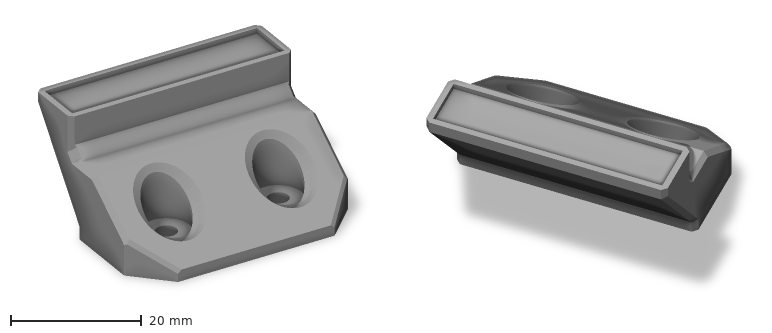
import cadquery as cq
import math

height = 20.0
width = 40.0
base_length = 20.0
overhang = 12.2
lip_height = 2.0

block_length = 10.2
ledge_height = 13.0
ledge_length = 6.8
notch_chamfer = 2.0
corner_cut = 6.0
side_chamfer = 0.8

pocket_wall = 1.0
pocket_depth = 1.0

hole_diameter = 3.5
head_diameter = 8.0
hole_x = base_length / 2
hole_spacing = 20.0
floor_height = 3.0
mouth_chamfer = 1.6

block_left = -overhang
block_right = block_left + block_length
crest_x = block_right + ledge_length
slope = (ledge_height - lip_height) / (base_length - crest_x)
slope_angle = math.atan(slope)
overhang_angle = math.atan(overhang / (height - 2 * lip_height))


def side_outline(inset, notch_leg):
    """XZ outline with its two flanks moved inwards; base, top and nose stay in place."""
    left_rise = inset * math.tan(overhang_angle / 2)
    corner_x = block_right - inset
    corner_z = ledge_height - inset
    return [
        (inset, 0),
        (base_length, 0),
        (base_length, lip_height - inset / math.cos(slope_angle)),
        (crest_x - inset * math.tan(slope_angle / 2), corner_z),
        (corner_x + notch_leg, corner_z),
        (corner_x, corner_z + notch_leg),
        (corner_x, height),
        (block_left + inset, height),
        (block_left + inset, height - lip_height + left_rise),
        (inset, lip_height + left_rise),
    ]


def outline_wire(y, inset, notch_leg):
    points = [cq.Vector(x, y, z) for x, z in side_outline(inset, notch_leg)]
    return cq.Wire.makePolygon(points, close=True)


def extrude_outline(start_y, length):
    wire = outline_wire(start_y, 0, notch_chamfer)
    return cq.Workplane(cq.Solid.extrudeLinear(wire, [], cq.Vector(0, length, 0)))


def chamfered_body():
    """Bar of the side outline whose two ends narrow at 45 degrees.

    The chamfer also runs through the notch. The bevels beside it meet at 60 degrees
    rather than 90, so the notch leg is shorter there and its bevel reaches deeper.
    """
    bevel_leg = notch_chamfer / math.sqrt(2)
    end_depth = side_chamfer + (notch_chamfer - bevel_leg) / 2
    outer = outline_wire(-width / 2, side_chamfer, bevel_leg)
    inner = outline_wire(-width / 2 + end_depth, side_chamfer - end_depth, bevel_leg)
    tapered = cq.Workplane(cq.Solid.makeLoft([outer, inner], True))
    end = tapered.intersect(extrude_outline(-width / 2, end_depth))
    middle = extrude_outline(-width / 2 + end_depth, width - 2 * end_depth)
    return middle.union(end).union(end.mirror("XZ"))


def cut_nose_corners(body):
    """Cut both nose corners at 45 degrees and bevel their upper edges.

    The bevel leg is shortened for the obtuse edge, so that the bevel has the same
    offset from both faces as the side chamfers.
    """
    normal_dot = math.sin(slope_angle) / math.sqrt(2)
    bevel_leg = side_chamfer * math.tan(math.acos(normal_dot) / 2)
    for side in (-1, 1):
        flank = side * width / 2
        edge_direction = cq.Vector(1, -side, -slope)
        corner = (
            cq.Workplane("XY")
            .moveTo(base_length, flank)
            .lineTo(base_length - corner_cut, flank)
            .lineTo(base_length, flank - side * corner_cut)
            .close()
            .extrude(height)
        )
        upper_edge = cq.selectors.ParallelDirSelector(edge_direction)
        body = body.cut(corner).edges(upper_edge).chamfer(bevel_leg)
    return body


def cut_pocket(body):
    pocket = (
        cq.Workplane("XY", origin=(block_left + block_length / 2, 0, height - pocket_depth))
        .rect(block_length - 2 * pocket_wall, width - 2 * pocket_wall)
        .extrude(pocket_depth)
    )
    return body.cut(pocket)


def slanted_ellipse(x, y, z, radius, angle):
    """Ellipse that is a circle when seen along Z, in a plane falling towards +X."""
    normal = cq.Vector(math.sin(angle), 0, math.cos(angle))
    downhill = cq.Vector(math.cos(angle), 0, -math.sin(angle))
    edge = cq.Edge.makeEllipse(
        radius / math.cos(angle), radius, cq.Vector(x, y, z), normal, downhill, 0, 360, 1
    )
    return cq.Wire.assembleEdges([edge])


def mouth_bevel(y):
    """Bevel of even offset around the edge between a head bore and the slope."""
    bore_radius = head_diameter / 2
    mouth_radius = bore_radius + mouth_chamfer
    slope_z = ledge_height - slope * (hole_x - crest_x)
    shift = mouth_chamfer * math.sin(slope_angle)
    lower_z = slope_z - mouth_chamfer / math.cos(slope_angle)
    lower_angle = math.atan(slope * mouth_radius / bore_radius)
    mouth = slanted_ellipse(hole_x + shift, y, slope_z - slope * shift, mouth_radius, slope_angle)
    lower = slanted_ellipse(hole_x, y, lower_z, bore_radius, lower_angle)
    return cq.Workplane(cq.Solid.makeLoft([lower, mouth], True))


def cut_screw_holes(body):
    for y in (-hole_spacing / 2, hole_spacing / 2):
        through = cq.Workplane("XY").center(hole_x, y).circle(hole_diameter / 2).extrude(height)
        head = (
            cq.Workplane("XY", origin=(hole_x, y, floor_height))
            .circle(head_diameter / 2)
            .extrude(height - floor_height)
        )
        body = body.cut(through).cut(head).cut(mouth_bevel(y))
    return body


result = cut_screw_holes(cut_pocket(cut_nose_corners(chamfered_body())))